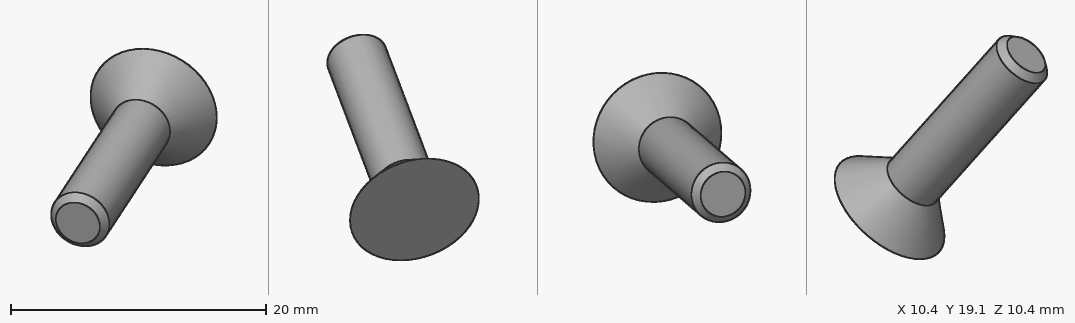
import cadquery as cq

total_length = 19.05
head_diameter = 10.44
head_height = 3.22
shank_diameter = 4.82
tip_chamfer = 0.6

head_radius = head_diameter / 2
shank_radius = shank_diameter / 2
head_start = total_length - head_height

profile = (
    cq.Workplane("XY")
    .moveTo(0, 0)
    .lineTo(shank_radius - tip_chamfer, 0)
    .lineTo(shank_radius, tip_chamfer)
    .lineTo(shank_radius, head_start)
    .lineTo(head_radius, total_length)
    .lineTo(0, total_length)
    .close()
)

result = profile.revolve(360, (0, 0, 0), (0, 1, 0))